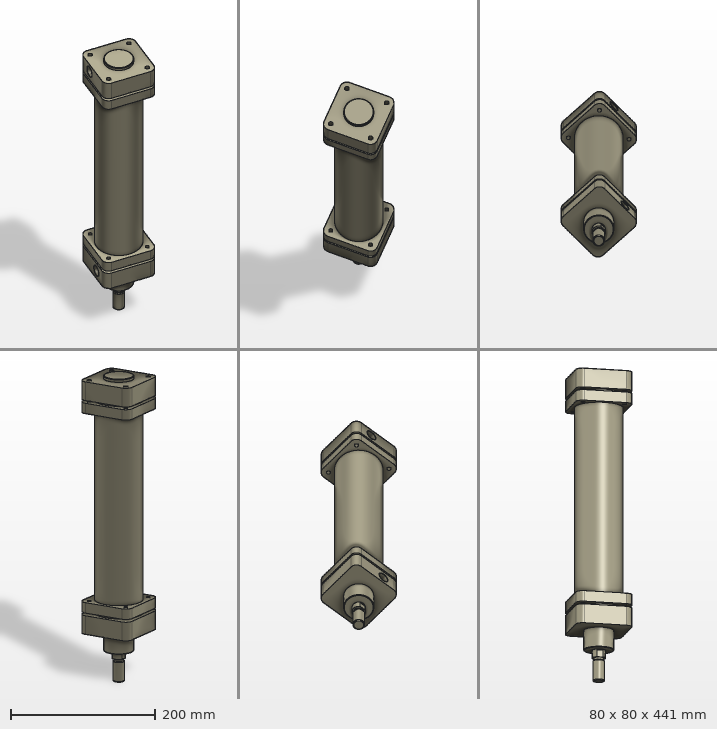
import cadquery as cq

LENGTH = 441.0
BLOCK_SIDE = 80.0
CORNER_RADIUS = 10.0

BOSS_HEIGHT = 4.5
HEAD_HEIGHT = 27.0
FLANGE_GAP = 4.0
FLANGE_HEIGHT = 15.0
NOSE_HEIGHT = 28.2
TUBE_LENGTH = 310.5

TUBE_DIAMETER = 68.0
BOSS_DIAMETER = 42.0
BOSS_CHAMFER = 1.0

BOLT_PITCH = 59.5
REAR_HEAD_BOLT_DIAMETER = 6.0
FLANGE_BOLT_DIAMETER = 5.5
PORT_DIAMETER = 15.5
PORT_CHAMFER = 0.5
PORT_OFFSET = 11.0
PORT_DEPTH = 22.0
PORT_INSET = 13.2

ROD_DIAMETER = 18.5
FLAT_WIDTH = 16.5
FLAT_LENGTH = 9.5
ROD_SHOULDER_HEIGHT = 33.0
NECK_DIAMETER = 13.5
NECK_LENGTH = 3.0
THREAD_DIAMETER = 16.5
THREAD_CHAMFER = 1.5

REAR_TOP = LENGTH - BOSS_HEIGHT
REAR_BOTTOM = REAR_TOP - HEAD_HEIGHT
FRONT_TOP = REAR_BOTTOM - TUBE_LENGTH
FRONT_BOTTOM = FRONT_TOP - HEAD_HEIGHT
NOSE_BOTTOM = FRONT_BOTTOM - NOSE_HEIGHT


def cylinder(diameter, bottom, height):
    """Round bar on the cylinder axis."""
    return cq.Workplane("XY", origin=(0, 0, bottom)).circle(diameter / 2).extrude(height)


def square_block(bottom, height):
    """Square block with rounded corners."""
    return (
        cq.Workplane("XY", origin=(0, 0, bottom))
        .rect(BLOCK_SIDE, BLOCK_SIDE)
        .extrude(height)
        .edges("|Z")
        .fillet(CORNER_RADIUS)
    )


def bolt_holes(diameter, bottom, depth):
    """Four bolt holes, one near each corner of a block."""
    return (
        cq.Workplane("XY", origin=(0, 0, bottom))
        .rect(BOLT_PITCH, BOLT_PITCH, forConstruction=True)
        .vertices()
        .circle(diameter / 2)
        .extrude(depth)
    )


def port(x, z):
    """Blind air port with a chamfered mouth, drilled into the -Y side of a head."""
    mouth = cq.Workplane("XZ", origin=(x, -BLOCK_SIDE / 2, z))
    bore = mouth.circle(PORT_DIAMETER / 2).extrude(-PORT_DEPTH)
    mouth_diameter = PORT_DIAMETER + 2 * PORT_CHAMFER
    countersink = mouth.circle(mouth_diameter / 2).extrude(-PORT_CHAMFER, taper=45)
    return bore.union(countersink)


def make_rod():
    """Piston rod from its threaded tip up to the inner face of the front head."""
    thread_length = ROD_SHOULDER_HEIGHT - NECK_LENGTH
    thread = cylinder(THREAD_DIAMETER, 0, thread_length).faces("<Z or >Z").chamfer(THREAD_CHAMFER)
    neck = cylinder(NECK_DIAMETER, thread_length, NECK_LENGTH)
    shank = cylinder(ROD_DIAMETER, ROD_SHOULDER_HEIGHT, FRONT_TOP - ROD_SHOULDER_HEIGHT)
    rod = shank.union(neck).union(thread)
    flat_zone = cq.Workplane("XY", origin=(0, 0, ROD_SHOULDER_HEIGHT))
    flats = (
        flat_zone.rect(2 * ROD_DIAMETER, 2 * ROD_DIAMETER)
        .rect(2 * ROD_DIAMETER, FLAT_WIDTH)
        .extrude(FLAT_LENGTH)
    )
    return rod.cut(flats)


def make_rear_head():
    """Closed head with a raised round boss."""
    boss = cylinder(BOSS_DIAMETER, REAR_TOP, BOSS_HEIGHT).faces(">Z").chamfer(BOSS_CHAMFER)
    head = square_block(REAR_BOTTOM, HEAD_HEIGHT).union(boss)
    head = head.cut(bolt_holes(REAR_HEAD_BOLT_DIAMETER, REAR_BOTTOM, HEAD_HEIGHT))
    return head.cut(port(-PORT_OFFSET, REAR_TOP - PORT_INSET))


def make_front_head():
    """Head with a guide nose, bored through for the rod."""
    nose = cylinder(BOSS_DIAMETER, NOSE_BOTTOM, NOSE_HEIGHT).faces("<Z").chamfer(BOSS_CHAMFER)
    rod_bore = cylinder(ROD_DIAMETER, NOSE_BOTTOM, FRONT_TOP - NOSE_BOTTOM)
    head = square_block(FRONT_BOTTOM, HEAD_HEIGHT).union(nose).cut(rod_bore)
    return head.cut(port(PORT_OFFSET, FRONT_BOTTOM + PORT_INSET))


def make_flange(bottom):
    """Mounting flange around the tube, with bolt holes right through."""
    tube_bore = cylinder(TUBE_DIAMETER, bottom, FLANGE_HEIGHT)
    holes = bolt_holes(FLANGE_BOLT_DIAMETER, bottom, FLANGE_HEIGHT)
    return square_block(bottom, FLANGE_HEIGHT).cut(tube_bore).cut(holes)


rod = make_rod()
rear_head = make_rear_head()
front_head = make_front_head()
tube = cylinder(TUBE_DIAMETER, FRONT_TOP, TUBE_LENGTH)

flange_bottoms = [FRONT_TOP + FLANGE_GAP, REAR_BOTTOM - FLANGE_GAP - FLANGE_HEIGHT]
flanges = [make_flange(bottom).val() for bottom in flange_bottoms]

result = cq.Compound.makeCompound([rod.val(), rear_head.val(), front_head.val(), tube.val(), *flanges])